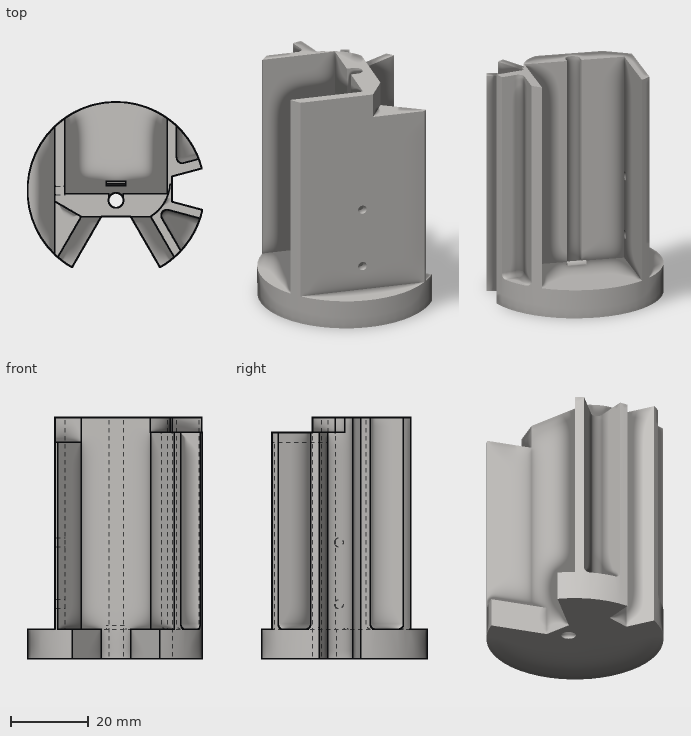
import cadquery as cq
import math

body_radius = 22.86
base_height = 7.62
total_height = 62.23
beyond = 30.0

left_face_x = -15.75
cavity_half_width = 13.25
cavity_front_y = -0.84
front_face_y = -6.75
corner_notch_height = 6.35

front_angle = math.radians(30)
front_flare = math.tan(front_angle)
base_notch_half_width = 3.77
tower_notch_half_width = 8.97

side_angle = math.radians(15)
side_flare = math.tan(side_angle)
side_notch_x = 14.45
side_notch_low_y = -2.88
side_notch_high_y = 3.6

rib_thickness = 2.286
back_rib_thickness = 2.59
back_pocket_x = 15.6
pocket_corner_radius = 1.5
pocket_floor_radius = 1.37

lowered_rib_top = 58.42
shoulder_radius = 10.6
shoulder_side_x = 13.97
shoulder_center_y = 2.3
shoulder_end_y = 1.6

cable_hole_diameter = 3.81
cable_hole_y = -2.54
ridge_length = 5.08
ridge_height = 1.0
ridge_front_y = 1.25
ridge_crest_y = 1.7
ridge_back_y = 2.4
side_hole_diameter = 2.3
side_hole_heights = (14.15, 30.07)


def prism(points, bottom, top):
    """Upright prism over a closed outline in X and Y."""
    return cq.Workplane("XY").workplane(offset=bottom).polyline(points).close().extrude(top - bottom)


def low_side_y(x):
    """Y of the lower flank of the side notch."""
    return side_notch_low_y - (x - side_notch_x) * side_flare


def high_side_y(x):
    """Y of the upper flank of the side notch."""
    return side_notch_high_y + (x - side_notch_x) * side_flare


def front_notch(half_width, bottom, top):
    """Flared opening from the tower's front face outwards."""
    outer_half_width = half_width + (front_face_y + beyond) * front_flare
    points = [
        (-half_width, front_face_y),
        (half_width, front_face_y),
        (outer_half_width, -beyond),
        (-outer_half_width, -beyond),
    ]
    return prism(points, bottom, top)


def side_notch():
    """Flared opening at the right, through the full height."""
    points = [
        (side_notch_x, side_notch_low_y),
        (beyond, low_side_y(beyond)),
        (beyond, high_side_y(beyond)),
        (side_notch_x, side_notch_high_y),
    ]
    return prism(points, 0, total_height)


def cavity():
    """Space between the side walls, open at the back."""
    points = [
        (-cavity_half_width, cavity_front_y),
        (cavity_half_width, cavity_front_y),
        (cavity_half_width, beyond),
        (-cavity_half_width, beyond),
    ]
    return prism(points, base_height, total_height)


def left_clearance():
    """Everything left of the flat wall, above the base."""
    points = [(-beyond, -beyond), (left_face_x, -beyond), (left_face_x, beyond), (-beyond, beyond)]
    return prism(points, base_height, total_height)


def corner_notch():
    """Top of the left front leg, cut square to the leg's flank."""
    slope_end_y = front_face_y + (-tower_notch_half_width - left_face_x) * front_flare
    points = [
        (-tower_notch_half_width, front_face_y),
        (left_face_x, slope_end_y),
        (left_face_x, -beyond),
        (-tower_notch_half_width, -beyond),
    ]
    return prism(points, total_height - corner_notch_height, total_height)


def rounded_pocket(points):
    """Pocket down to the base, rounded at its inner corner and around its floor.

    The first point is the inner corner; all the others lie outside the body, so only the
    fillets near that corner reach it.
    """
    block = prism(points, base_height, total_height)
    corner_x, corner_y = points[0]
    corner_middle = (corner_x, corner_y, (base_height + total_height) / 2)
    corner = block.edges("|Z").edges(cq.NearestToPointSelector(corner_middle))
    return corner.fillet(pocket_corner_radius).faces("<Z").edges().fillet(pocket_floor_radius)


def front_pocket():
    """Pocket between the right front leg and the lower flank of the side notch."""
    leg_offset = tower_notch_half_width + rib_thickness / math.cos(front_angle)
    rib_drop = rib_thickness / math.cos(side_angle)

    def leg_x(y):
        """X of the pocket wall along the leg."""
        return leg_offset + (front_face_y - y) * front_flare

    rib_wall_y = low_side_y(leg_offset) - rib_drop
    combined_flare = side_flare * front_flare
    corner_y = (rib_wall_y - combined_flare * front_face_y) / (1 - combined_flare)
    corner_x = leg_x(corner_y)
    points = [
        (corner_x, corner_y),
        (leg_x(-beyond), -beyond),
        (2 * beyond, -beyond),
        (2 * beyond, low_side_y(2 * beyond) - rib_drop),
    ]
    return rounded_pocket(points)


def back_pocket():
    """Pocket between the right wall and the upper flank of the side notch."""
    rib_rise = back_rib_thickness / math.cos(side_angle)
    points = [
        (back_pocket_x, high_side_y(back_pocket_x) + rib_rise),
        (beyond, high_side_y(beyond) + rib_rise),
        (beyond, beyond),
        (back_pocket_x, beyond),
    ]
    return rounded_pocket(points)


def rib_lowering():
    """Removes the top of the front ribs around the rounded shoulder."""
    center_x = shoulder_side_x - shoulder_radius
    start_angle = math.asin((front_face_y - shoulder_center_y) / shoulder_radius)
    end_angle = math.asin((shoulder_end_y - shoulder_center_y) / shoulder_radius)

    def shoulder_point(angle):
        """Point on the shoulder arc."""
        return (
            center_x + shoulder_radius * math.cos(angle),
            shoulder_center_y + shoulder_radius * math.sin(angle),
        )

    start = shoulder_point(start_angle)
    middle = shoulder_point((start_angle + end_angle) / 2)
    end = shoulder_point(end_angle)
    return (
        cq.Workplane("XY")
        .workplane(offset=lowered_rib_top)
        .moveTo(*start)
        .threePointArc(middle, end)
        .lineTo(beyond, shoulder_end_y)
        .lineTo(beyond, -beyond)
        .lineTo(start[0], -beyond)
        .close()
        .extrude(total_height - lowered_rib_top)
    )


def cable_hole():
    """Through hole with a channel that opens it to the cavity."""
    radius = cable_hole_diameter / 2
    hole = cq.Workplane("XY").center(0, cable_hole_y).circle(radius).extrude(total_height)
    channel = [
        (-radius, cable_hole_y),
        (radius, cable_hole_y),
        (radius, cavity_front_y),
        (-radius, cavity_front_y),
    ]
    return hole.union(prism(channel, base_height, total_height))


def side_holes():
    """Round holes through the left wall."""
    return (
        cq.Workplane("YZ")
        .workplane(offset=left_face_x)
        .pushPoints([(0, height) for height in side_hole_heights])
        .circle(side_hole_diameter / 2)
        .extrude(-left_face_x - cavity_half_width)
    )


def ridge():
    """Small triangular ridge on the cavity floor."""
    return (
        cq.Workplane("YZ")
        .workplane(offset=-ridge_length / 2)
        .moveTo(ridge_front_y, base_height)
        .lineTo(ridge_crest_y, base_height + ridge_height)
        .lineTo(ridge_back_y, base_height)
        .close()
        .extrude(ridge_length)
    )


result = (
    cq.Workplane("XY")
    .circle(body_radius)
    .extrude(total_height)
    .cut(front_notch(base_notch_half_width, 0, base_height))
    .cut(front_notch(tower_notch_half_width, base_height, total_height))
    .cut(side_notch())
    .cut(cavity())
    .cut(left_clearance())
    .cut(corner_notch())
    .cut(front_pocket())
    .cut(back_pocket())
    .cut(rib_lowering())
    .cut(cable_hole())
    .cut(side_holes())
    .union(ridge())
)